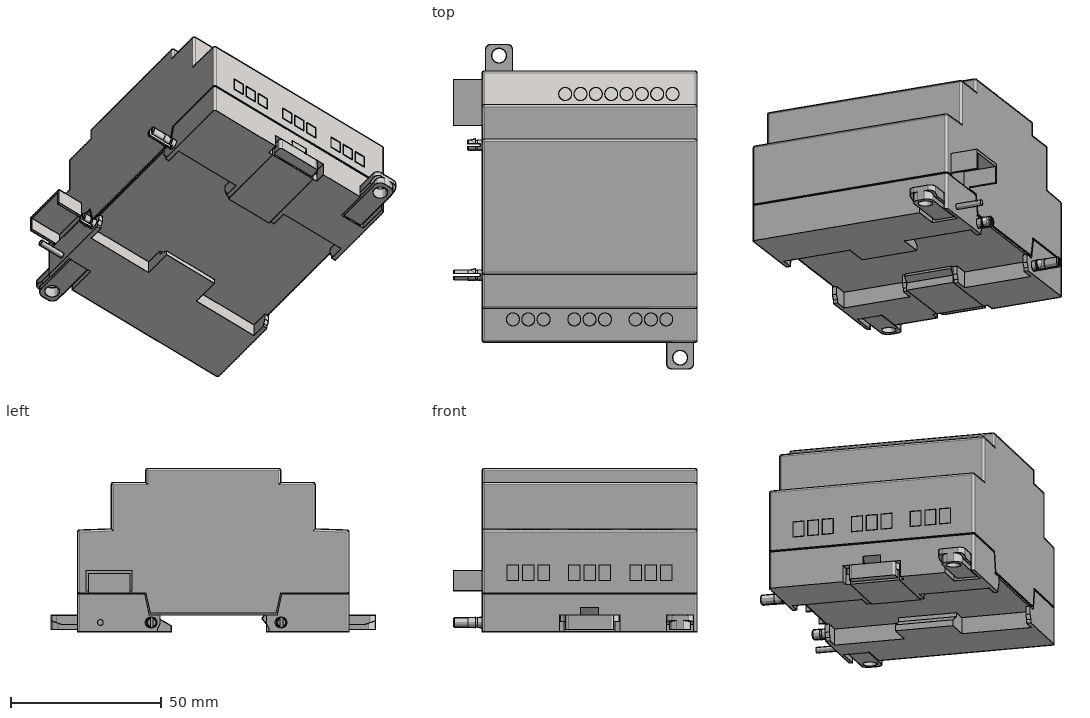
import cadquery as cq


length = 71.2
width = 90.0
height = 54.21
edge_radius = 0.75
half_length = length / 2
half_width = width / 2

top_half_width = 22.4
shoulder_half_width = 33.8
shoulder_z = 49.6
terrace_outer_z = 33.8
terrace_inner_z = 34.2

base_z = 12.6
reveal = 0.37
reveal_depth = 0.5
bevel_top_y = 22.7
bevel_bottom_y = 21.2
web_z = 5.57
web_thickness = 0.73

rail_half_width = 17.6
undercut = 0.8
undercut_z = 2.8
undercut_end_z = 1.2
hook_reach_y = 13.9
hook_root_z = 4.2
hook_tip_z = 2.05
hook_width = 20.0
side_wall = 1.5
relief_depth = 6.0

terminal_pitch = 5.08
terminals_per_group = 3
group_pitch = 4 * terminal_pitch
screw_diameter = 4.3
screw_y = 37.35
window_width = 3.8
window_height = 5.2
window_z = 19.65
mark_depth = 0.2
rear_terminal_count = 8
rear_row_center_x = 9.7

hood_reach = 9.5
hood_y_min = 26.9
hood_y_max = 42.15
hood_z_min = 13.6
hood_z_max = 20.4
hood_side_wall = 0.75
hood_roof = 1.1
hood_pocket_depth = 2.0

stud_z = 3.15
post_diameter = 3.5
post_slot = 0.9
post_slot_overlap = 0.7
post_chamfer = 0.35
neck_start = 1.6
neck_length = 0.6
neck_diameter = 3.2
barb_taper_length = 1.6
barb_offset = 0.4
rear_post_y = 20.4
rear_post_length = 4.9
front_post_y = -22.65
front_post_length = hood_reach
front_post_root_length = 4.7
front_post_tip_diameter = 3.4
pin_y = 37.4
pin_diameter = 1.9
pin_length = 9.0

foot_x = 30.0
foot_width = 9.0
foot_reach = 8.8
foot_insertion = 10.0
foot_corner_radius = 1.8
foot_bottom_z = 0.75
foot_rib_width = 7.0
foot_rib_radius = 2.3
flange_root_z = 2.45
flange_tip_z = 3.75
flange_taper_length = 3.7
foot_hole_diameter = 4.8
foot_hole_inset = 3.75

clip_notch_width = 20.0
clip_notch_depth = 3.5
clip_shank_width = 17.0
clip_tongue_width = 16.0
clip_tongue_radius = 0.95
clip_tongue_z = 0.75
clip_flare_z = 3.4
clip_flare_width = 19.4
nose_tip_y = -16.1
nose_tip_z = 4.45
nose_top_y = -16.9
nose_bottom_z = 2.6
tool_slot_width = 6.0
tool_slot_top_z = 8.16
tool_slot_depth = 2.0


def box(x_min, x_max, y_min, y_max, z_min, z_max):
    """Axis-aligned block between the given limits."""
    block = cq.Workplane("XY").box(x_max - x_min, y_max - y_min, z_max - z_min, centered=False)
    return block.translate((x_min, y_min, z_min))


def prism(profile, prism_length):
    """Prism along X, centred on X = 0, from (y, z) points."""
    return cq.Workplane("YZ").polyline(profile).close().extrude(prism_length / 2, both=True)


def symmetric_prism(half_profile, prism_length):
    """Prism along X from the +Y half of a profile mirrored about Y = 0."""
    mirrored = [(-y, z) for y, z in reversed(half_profile)]
    return prism(half_profile + mirrored, prism_length)


def stud(y, diameter, start, end):
    """Round stud along -X, from a start to an end distance off the -X wall."""
    return (
        cq.Workplane("YZ", origin=(-half_length - start, y, stud_z))
        .circle(diameter / 2)
        .extrude(start - end)
    )



def base_shell():
    """Two base blocks and the inset core and web that join them."""
    block_profile = [
        (half_width, 0),
        (half_width, base_z),
        (bevel_top_y, base_z),
        (bevel_bottom_y, web_z),
        (rail_half_width, web_z),
        (rail_half_width, undercut_z),
        (rail_half_width + undercut, undercut_end_z),
        (rail_half_width + undercut, 0),
    ]
    rear_block = prism(block_profile, length).edges("|Z and >Y").fillet(edge_radius)
    front_block = rear_block.mirror("XZ")

    core_half_profile = [
        (half_width - reveal_depth, web_z),
        (half_width - reveal_depth, base_z + reveal),
        (bevel_top_y - reveal, base_z + reveal),
        (bevel_bottom_y - reveal, web_z + web_thickness),
    ]
    core = symmetric_prism(core_half_profile, length - 2 * reveal_depth)
    return core.union(rear_block).union(front_block)


def rail_hook():
    """Fixed wedge that catches the rear flange of the rail."""
    root_y = rail_half_width + undercut
    profile = [
        (root_y, 0),
        (root_y, hook_root_z),
        (rail_half_width, hook_root_z),
        (hook_reach_y, hook_tip_z),
        (hook_reach_y, 0),
    ]
    return prism(profile, hook_width)


def channel_reliefs():
    """Hollows in the channel faces, between the side walls and the middle."""
    outer_x = half_length - side_wall
    inner_x = hook_width / 2
    start_y = rail_half_width
    end_y = start_y + relief_depth
    hollow = box(inner_x, outer_x, start_y, end_y, 0, web_z)
    pair = hollow.union(hollow.mirror("YZ"))
    return pair.union(pair.mirror("XZ"))


def foot_pocket():
    """Pocket for the rear foot, open at the back and underneath."""
    half = foot_width / 2
    return box(
        -foot_x - half, -foot_x + half,
        half_width - foot_insertion, half_width,
        0, web_z,
    )


def clip_channel():
    """Wide notch in the front wall and the guide channel behind it."""
    half_notch = clip_notch_width / 2
    half_shank = clip_shank_width / 2
    notch_back_y = -half_width + clip_notch_depth
    notch = box(-half_notch, half_notch, -half_width, notch_back_y, 0, web_z)
    guide = box(-half_shank, half_shank, notch_back_y, -rail_half_width, 0, web_z)
    return notch.union(guide)


def tool_slot():
    """Wedge-shaped screwdriver slot above the clip."""
    profile = [
        (-half_width, web_z),
        (-half_width, tool_slot_top_z),
        (-half_width + tool_slot_depth, web_z),
    ]
    return prism(profile, tool_slot_width)


def snap_post(y, post):
    """Cut a neck round a post, add the one-sided barb and split it lengthwise."""
    neck_end = neck_start + neck_length
    neck_ring = stud(y, 2 * post_diameter, neck_start, neck_end)
    neck_ring = neck_ring.cut(stud(y, neck_diameter, neck_start, neck_end))
    barb_radius = post_diameter / 2
    barb_y = y + barb_offset
    barb = cq.Solid.makeCone(
        barb_radius,
        barb_radius - barb_offset,
        barb_taper_length,
        cq.Vector(-half_length - neck_end, barb_y, stud_z),
        cq.Vector(-1, 0, 0),
    )
    tip_x = post.val().BoundingBox().xmin
    slot = box(
        tip_x, -half_length - post_slot_overlap,
        y - post_slot / 2, y + post_slot / 2,
        stud_z - post_diameter, stud_z + post_diameter,
    )
    return post.cut(neck_ring).union(cq.Workplane(barb)).cut(slot)


def snap_posts():
    """Short rear post and long front post, the latter slimmer towards its tip."""
    rear = stud(rear_post_y, post_diameter, 0, rear_post_length)
    rear = rear.faces("<X").chamfer(post_chamfer)
    front_root = stud(front_post_y, post_diameter, 0, front_post_root_length)
    front_tip = stud(front_post_y, front_post_tip_diameter, 0, front_post_length)
    front_tip = front_tip.faces("<X").chamfer(post_chamfer)
    front = front_root.union(front_tip)
    return [snap_post(rear_post_y, rear), snap_post(front_post_y, front)]


def make_base():
    base = base_shell().union(rail_hook()).cut(channel_reliefs())
    rear_pocket = foot_pocket()
    base = base.cut(rear_pocket)
    base = base.cut(rear_pocket.rotate((0, 0, 0), (0, 0, 1), 180))
    base = base.cut(clip_channel()).cut(tool_slot())
    for post in snap_posts():
        base = base.union(post)
    return base.union(stud(pin_y, pin_diameter, 0, pin_length))



def cover_envelope():
    """Stepped body with rounded outer edges, reaching down to Z = 0."""
    half_profile = [
        (half_width, 0),
        (half_width, terrace_outer_z),
        (shoulder_half_width, terrace_inner_z),
        (shoulder_half_width, shoulder_z),
        (top_half_width, shoulder_z),
        (top_half_width, height),
    ]
    body = symmetric_prism(half_profile, length)
    ridges = [
        (half_width, terrace_outer_z),
        (shoulder_half_width, shoulder_z),
        (top_half_width, height),
    ]
    ridge_edges = cq.Workplane("XY")
    for y, z in ridges:
        for side in (1, -1):
            nearest = cq.selectors.NearestToPointSelector((0, side * y, z))
            ridge_edges = ridge_edges.add(body.edges("|X").edges(nearest))
    end_edges = body.faces("<X or >X").edges("not <Z")
    rounded = ridge_edges.vals() + end_edges.vals()
    return cq.Workplane(body.val().fillet(edge_radius, rounded))


def base_clearance():
    """Space under the cover taken by the base and the reveal."""
    half_profile = [
        (half_width, 0),
        (half_width, base_z + reveal),
        (bevel_top_y - reveal, base_z + reveal),
        (bevel_bottom_y - reveal, web_z + web_thickness),
    ]
    return symmetric_prism(half_profile, length)


def hood():
    """Connector hood, open at the end and underneath."""
    return box(
        -half_length - hood_reach, -half_length,
        hood_y_min, hood_y_max,
        hood_z_min, hood_z_max,
    )


def hood_opening():
    """Hollow of the hood, continued a little way into the cover."""
    return box(
        -half_length - hood_reach, -half_length + hood_pocket_depth,
        hood_y_min + hood_side_wall, hood_y_max - hood_side_wall,
        base_z + reveal, hood_z_max - hood_roof,
    )


def front_terminal_positions():
    """X positions of the grouped front terminals."""
    group_count = 3
    positions = []
    for group in range(group_count):
        group_x = (group - (group_count - 1) / 2) * group_pitch
        for index in range(terminals_per_group):
            offset = (index - (terminals_per_group - 1) / 2) * terminal_pitch
            positions.append(group_x + offset)
    return positions


def screw_recesses(x_positions, y):
    """Shallow round recesses following the slope of a terrace."""
    terrace_half_profile = [
        (half_width, terrace_outer_z - mark_depth),
        (half_width, height),
        (shoulder_half_width, height),
        (shoulder_half_width, terrace_inner_z - mark_depth),
    ]
    side = 1 if y > 0 else -1
    above_terrace = prism([(side * py, pz) for py, pz in terrace_half_profile], length)
    columns = (
        cq.Workplane("XY")
        .pushPoints([(x, y) for x in x_positions])
        .circle(screw_diameter / 2)
        .extrude(height)
    )
    return columns.intersect(above_terrace)


def terminal_windows(x_positions):
    """Shallow rectangular recesses in the front wall."""
    return (
        cq.Workplane("XZ", origin=(0, -half_width, 0))
        .pushPoints([(x, window_z) for x in x_positions])
        .rect(window_width, window_height)
        .extrude(-mark_depth)
    )


def make_cover():
    cover = cover_envelope().cut(base_clearance())
    cover = cover.union(hood()).cut(hood_opening())
    front_x = front_terminal_positions()
    rear_x = [
        rear_row_center_x + (index - (rear_terminal_count - 1) / 2) * terminal_pitch
        for index in range(rear_terminal_count)
    ]
    cover = cover.cut(screw_recesses(front_x, -screw_y))
    cover = cover.cut(screw_recesses(rear_x, screw_y))
    return cover.cut(terminal_windows(front_x))



def make_rear_foot():
    """Flanged foot with a screw hole, reaching out along +Y."""
    root_y = half_width - foot_insertion
    tip_y = half_width + foot_reach
    half = foot_width / 2
    half_rib = foot_rib_width / 2

    flange_profile = [
        (root_y, web_z),
        (tip_y, web_z),
        (tip_y, flange_tip_z),
        (tip_y - flange_taper_length, flange_root_z),
        (root_y, flange_root_z),
    ]
    plan = box(-half, half, root_y, tip_y, 0, web_z).edges("|Z and >Y").fillet(foot_corner_radius)
    flange = prism(flange_profile, foot_width).intersect(plan)

    rib = box(-half_rib, half_rib, root_y, tip_y, foot_bottom_z, web_z)
    rib = rib.edges("|Z and >Y").fillet(foot_rib_radius)
    hole = (
        cq.Workplane("XY")
        .center(0, tip_y - foot_hole_inset)
        .circle(foot_hole_diameter / 2)
        .extrude(web_z)
    )
    return flange.union(rib).cut(hole).translate((-foot_x, 0, 0))


def make_feet():
    """The rear foot and its copy turned half a turn to the front."""
    rear_foot = make_rear_foot()
    return [rear_foot.rotate((0, 0, 0), (0, 0, 1), angle).solids().val() for angle in (0, 180)]



def clip_flare():
    """Upper part of the clip, curving out from the tongue to the notch sides."""
    back_y = -half_width + clip_notch_depth
    half_tongue = clip_tongue_width / 2
    half_flare = clip_flare_width / 2
    flare_radius = half_flare - half_tongue
    flare = box(-half_flare, half_flare, back_y - flare_radius, back_y, clip_flare_z, web_z)
    for side in (1, -1):
        hollow = (
            cq.Workplane("XY", origin=(side * half_flare, back_y - flare_radius, clip_flare_z))
            .circle(flare_radius)
            .extrude(web_z - clip_flare_z)
        )
        flare = flare.cut(hollow)
    return flare


def make_clip():
    """Sliding clip with a grip tongue in front and a latch nose at the rail."""
    back_y = -half_width + clip_notch_depth
    half_shank = clip_shank_width / 2
    half_tongue = clip_tongue_width / 2
    shank = box(-half_shank, half_shank, back_y, -rail_half_width, 0, web_z)
    tongue = box(-half_tongue, half_tongue, -half_width, back_y, clip_tongue_z, web_z)
    tongue = tongue.edges("|Z and <Y").fillet(clip_tongue_radius)
    nose_profile = [
        (-rail_half_width, web_z),
        (nose_top_y, web_z),
        (nose_tip_y, nose_tip_z),
        (-rail_half_width, nose_bottom_z),
    ]
    nose = prism(nose_profile, clip_shank_width)
    return shank.union(tongue).union(clip_flare()).union(nose)


cover = make_cover().solids()
base = make_base().solids()
clip = make_clip().solids()
feet = make_feet()

result = cq.Compound.makeCompound([*cover.vals(), *base.vals(), *clip.vals(), *feet])